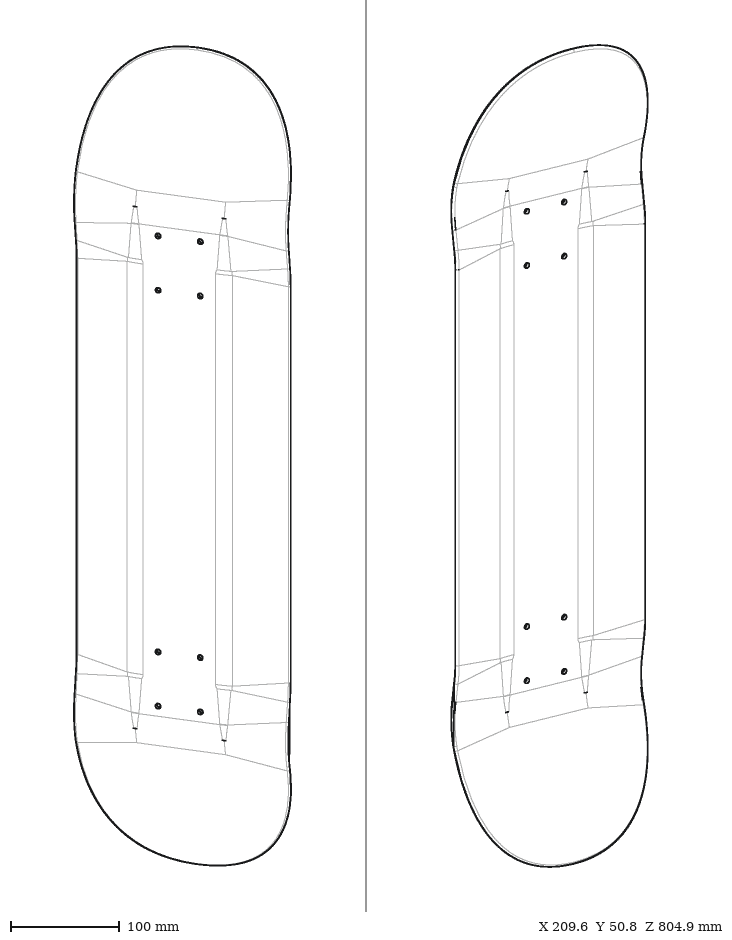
import cadquery as cq
import math

deck_length = 804.92
deck_width = 209.55
thickness = 4.2
edge_round_share = 0.49

bend_radius = 100.0
kick_angle = math.radians(18.0)
kick_bend_z = 257.25
wing_end_z = 204.5
side_edge_rise = 10.0
inner_blend_length = 2.0

flat_half_width = 43.5
crease_radius = 100.0

nose_length = 126.0
nose_tip_handle = 81.0
nose_side_handle = 62.0

hole_diameter = 5.0
hole_spacing_x = 41.3
hole_spacing_z = 53.5
truck_z = 205.0

half_width = deck_width / 2
half_length = deck_length / 2
edge_round_radius = edge_round_share * thickness
trim_margin = 5.0
tool_depth = 200.0
crease_end_z = kick_bend_z
crease_reach = 0.5


def bend_nodes(z, y, angle_before, angle_after):
    """Start and end of a bend about the corner (z, y), each as (z, y, direction)."""
    reach = bend_radius * math.tan(abs(angle_after - angle_before) / 2)
    start = (z - reach * math.cos(angle_before), y - reach * math.sin(angle_before), angle_before)
    end = (z + reach * math.cos(angle_after), y + reach * math.sin(angle_after), angle_after)
    return [start, end]


def inner_nodes():
    """Underside at the edge of the flat centre, from the middle to the kick."""
    half_blend = inner_blend_length / 2
    blend = [(wing_end_z - half_blend, 0.0, 0.0), (wing_end_z + half_blend, 0.0, 0.0)]
    return blend + bend_nodes(kick_bend_z, 0.0, 0.0, kick_angle)


def outer_nodes(rise):
    """Underside at the outer side of a wing, from the middle to the kick."""
    drop_angle = math.atan2(rise, kick_bend_z - wing_end_z)
    blend = bend_nodes(wing_end_z, rise, 0.0, -drop_angle)
    return blend + bend_nodes(kick_bend_z, 0.0, -drop_angle, kick_angle)


def profile_edges(x, half_nodes, height):
    """Lines and arcs from one kick to the other, at a height above the underside."""
    upper = [(z - height * math.sin(a), y + height * math.cos(a), a) for z, y, a in half_nodes]
    lower = [(-z, y, -a) for z, y, a in reversed(upper)]
    nodes = lower + upper
    edges = []
    for (z0, y0, angle0), (z1, y1, angle1) in zip(nodes, nodes[1:]):
        start = cq.Vector(x, y0, z0)
        end = cq.Vector(x, y1, z1)
        if math.isclose(angle0, angle1, abs_tol=1e-6):
            edges.append(cq.Edge.makeLine(start, end))
        else:
            direction = cq.Vector(0, math.sin(angle0), math.cos(angle0))
            edges.append(cq.Edge.makeTangentArc(start, direction, end))
    return edges


def section(x, half_nodes):
    """Closed section of the sheet at x."""
    under = profile_edges(x, half_nodes, 0.0)
    top = profile_edges(x, half_nodes, thickness)
    upper_end = cq.Edge.makeLine(under[-1].endPoint(), top[-1].endPoint())
    lower_end = cq.Edge.makeLine(top[0].startPoint(), under[0].startPoint())
    return cq.Wire.assembleEdges(under + [upper_end] + top[::-1] + [lower_end])


def make_kick(end_side, outer_x, inner_end_z, outer_end_z):
    """Flat plate of one kick, joining the bends of the centre strip and of both wings."""
    plane = cq.Plane(
        origin=(0, 0, end_side * kick_bend_z),
        xDir=(1, 0, 0),
        normal=(0, math.cos(kick_angle), -end_side * math.sin(kick_angle)),
    )
    outer_start = -end_side * (outer_end_z - kick_bend_z) / math.cos(kick_angle)
    inner_start = -end_side * (inner_end_z - kick_bend_z) / math.cos(kick_angle)
    far_end = -end_side * (half_length + trim_margin - kick_bend_z) / math.cos(kick_angle)
    points = [
        (-outer_x, far_end),
        (-outer_x, outer_start),
        (-flat_half_width, inner_start),
        (flat_half_width, inner_start),
        (outer_x, outer_start),
        (outer_x, far_end),
    ]
    return cq.Workplane(plane).polyline(points).close().extrude(thickness)


def make_sheet():
    """Flat centre strip with a straight-ruled wing on each side and a flat kick at each end."""
    outer_x = half_width + trim_margin
    rise = side_edge_rise * (outer_x - flat_half_width) / (half_width - flat_half_width)
    inner_line = inner_nodes()
    outer_line = outer_nodes(rise)
    left = section(-flat_half_width, inner_line)
    right = section(flat_half_width, inner_line)
    sheet = cq.Workplane(cq.Solid.makeLoft([left, right], True))
    for side, inner in ((-1, left), (1, right)):
        outer = section(side * outer_x, outer_line)
        sheet = sheet.union(cq.Workplane(cq.Solid.makeLoft([inner, outer], True)))
    for end_side in (-1, 1):
        sheet = sheet.union(make_kick(end_side, outer_x, inner_line[-1][0], outer_line[-1][0]))
    return sheet.clean()


def make_outline():
    """Prism along Y with straight sides and rounded ends."""
    side_z = half_length - nose_length
    handle_z = side_z + nose_side_handle
    outline = cq.Workplane("XZ", origin=(0, -tool_depth / 2, 0)).moveTo(half_width, -side_z)
    for s in (1, -1):
        side = (s * half_width, s * side_z)
        tip = (0, s * half_length)
        far_side = (-s * half_width, s * side_z)
        side_handle = (s * half_width, s * handle_z)
        tip_handle = (s * nose_tip_handle, s * half_length)
        far_tip_handle = (-s * nose_tip_handle, s * half_length)
        far_side_handle = (-s * half_width, s * handle_z)
        outline = outline.lineTo(*side).bezier([side, side_handle, tip_handle, tip])
        outline = outline.bezier([tip, far_tip_handle, far_side_handle, far_side])
    return outline.close().extrude(-tool_depth)


def round_edges(deck):
    return deck.faces("#Y").edges("not(|Y)").fillet(edge_round_radius)


def round_creases(deck):
    """Round the creases between the two kick bends."""
    middle_block = cq.Workplane().box(2 * deck_width, tool_depth, 2 * crease_end_z)
    ends = deck.cut(middle_block)
    middle = deck.intersect(middle_block)
    for side in (-1, 1):
        x = side * flat_half_width
        low = (x - crease_reach, -tool_depth, -crease_end_z)
        high = (x + crease_reach, tool_depth, crease_end_z)
        middle = middle.edges(cq.selectors.BoxSelector(low, high)).fillet(crease_radius)
    return middle.union(ends)


def make_bolt_holes():
    holes = cq.Workplane("XZ", origin=(0, -tool_depth / 2, 0))
    for side in (-1, 1):
        holes = holes.pushPoints(
            [
                (i * hole_spacing_x / 2, side * truck_z + j * hole_spacing_z / 2)
                for i in (-1, 1)
                for j in (-1, 1)
            ]
        )
        holes = holes.circle(hole_diameter / 2)
    return holes.extrude(-tool_depth)


deck = make_sheet().intersect(make_outline())
deck = round_edges(deck)
deck = round_creases(deck)
result = deck.cut(make_bolt_holes())